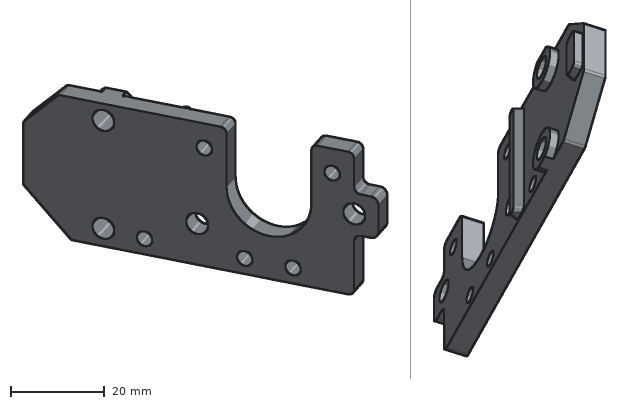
import cadquery as cq

length = 82.2
height = 34.4
plate_thickness = 5.0
raised_height = 2.0
total_depth = plate_thickness + raised_height
body_right = 76.6
top_chamfer = 8.2
bottom_chamfer = 11.2
chamfer_corner_radius = 1.0
corner_radius = 1.5

tab_height = 10.0
tab_center_z = 19.7
tab_corner_radius = 1.8

slot_radius = 9.8
slot_center_x = 56.9
slot_center_z = 20.1

large_hole_diameter = 5.0
boss_hole_x = 18.6
boss_hole_heights = (4.35, 30.4)
large_holes = [(boss_hole_x, z) for z in boss_hole_heights]
large_holes += [(40.3, 9.95), (body_right, tab_center_z)]
small_hole_diameter = 3.5
upper_hole_z = 28.5
lower_hole_z = 3.8
small_holes = [(x, upper_hole_z) for x in (41.9, 71.5)]
small_holes += [(x, lower_hole_z) for x in (28.1, 51.3, 62.45)]

boss_radius = 4.7
raised_corner_radius = 1.0
edge_margin = 0.7
wall_draft = 0.9
pad_base_right = 5.75
pad_bottom = 13.1
pad_top = 24.25
rib_center_x = 34.9
rib_base_width = 4.0


def prism(points, depth):
    """Extrude an XZ outline from the front face toward +Y."""
    return cq.Workplane("XZ").polyline(points).close().extrude(-depth)


def cylinders(centers, diameter, depth):
    """Cylinders along Y starting at the front face."""
    return cq.Workplane("XZ").pushPoints(centers).circle(diameter / 2).extrude(-depth)


def round_corners(body, corners, radius):
    """Round the Y-direction edges that pass through the given XZ corners."""
    middle = plate_thickness / 2
    for x, z in corners:
        selector = cq.selectors.NearestToPointSelector((x, middle, z))
        body = body.edges("|Y").edges(selector).fillet(radius)
    return body


def make_plate():
    tab_bottom = tab_center_z - tab_height / 2
    tab_top = tab_center_z + tab_height / 2
    chamfer_corners = [
        (bottom_chamfer, 0),
        (0, bottom_chamfer),
        (0, height - top_chamfer),
        (top_chamfer, height),
    ]
    tab_corners = [(length, tab_top), (length, tab_bottom)]
    right_corners = [
        (body_right, height),
        (body_right, tab_top),
        *tab_corners,
        (body_right, tab_bottom),
        (body_right, 0),
    ]
    plate = prism(chamfer_corners + right_corners, plate_thickness)
    slot_left = slot_center_x - slot_radius
    slot_right = slot_center_x + slot_radius
    slot = (
        cq.Workplane("XZ")
        .moveTo(slot_left, height)
        .lineTo(slot_left, slot_center_z)
        .threePointArc((slot_center_x, slot_center_z - slot_radius), (slot_right, slot_center_z))
        .lineTo(slot_right, height)
        .close()
        .extrude(-plate_thickness)
    )
    plate = plate.cut(slot)
    body_corners = [corner for corner in right_corners if corner not in tab_corners]
    body_corners += [(slot_left, height), (slot_right, height)]
    plate = round_corners(plate, chamfer_corners, chamfer_corner_radius)
    plate = round_corners(plate, tab_corners, tab_corner_radius)
    return round_corners(plate, body_corners, corner_radius)


def make_bosses():
    """Round bosses behind the left holes, cut flush with the plate's top and bottom."""
    centers = [(boss_hole_x, z) for z in boss_hole_heights]
    envelope = prism([(0, 0), (length, 0), (length, height), (0, height)], total_depth)
    return cylinders(centers, 2 * boss_radius, total_depth).intersect(envelope)


def raised_bar(left, right, bottom, top, left_draft, right_draft):
    """Bar on the back face whose sides lean in, with square ends and rounded corners."""
    profile = [
        (left, plate_thickness),
        (right, plate_thickness),
        (right - right_draft, total_depth),
        (left + left_draft, total_depth),
    ]
    bar = cq.Workplane("XY").workplane(offset=bottom).polyline(profile).close().extrude(top - bottom)
    end_edges = bar.faces("<Z or >Z").edges("not(|X)")
    return end_edges.fillet(raised_corner_radius)


pad = raised_bar(edge_margin, pad_base_right, pad_bottom, pad_top, 0, wall_draft)
rib_left = rib_center_x - rib_base_width / 2
rib_right = rib_center_x + rib_base_width / 2
rib = raised_bar(rib_left, rib_right, edge_margin, height - edge_margin, wall_draft, wall_draft)

result = make_plate().union(make_bosses()).union(pad).union(rib)
result = result.cut(cylinders(large_holes, large_hole_diameter, total_depth))
result = result.cut(cylinders(small_holes, small_hole_diameter, total_depth))